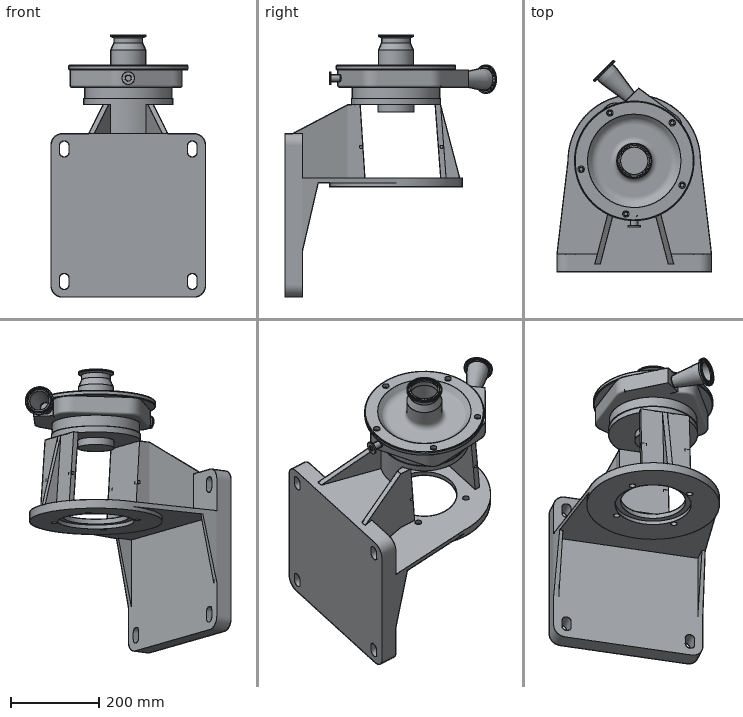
import cadquery as cq
import math


plate_width = 350.0
plate_height = 370.5
plate_thickness = 40.0
plate_front = -251.0
plate_back = plate_front + plate_thickness
plate_corner_radius = 27.0
slot_width = 21.5
slot_length = 35.5
slot_offset_x = 145.0
slot_low_z = 35.5
slot_high_z = 335.5

floor_top = 270.0
disc_radius = 150.0
disc_thickness = 20.0
disc_bottom = floor_top - disc_thickness
tongue_thickness = 11.0
tongue_bottom = floor_top - tongue_thickness
floor_bore_radius = 73.5
floor_recess_radius = 86.0
floor_bolt_circle_radius = 95.0
floor_bolt_diameter = 14.0
floor_bolt_count = 4
floor_bolt_first_angle = 45.0
gusset_thickness = 12.0
gusset_reach = 35.5
gusset_bottom = 105.0

ring_radius = 101.0
ring_bottom = 435.5
ring_top = 450.0
wall_half_width = 57.0
wall_thickness = 12.5
window_front_top_y = -81.0
window_front_low_y = -70.0
window_back_top_y = 88.5
window_back_low_y = 101.0
spine_thickness = 12.0
spine_low_y = 144.0
rib_start_y = -109.0
rib_end_y = -234.0
rib_thickness = 12.5
rib_spread = 0.26
pin_hole_diameter = 7.0
pin_hole_depth = 12.0
pin_hole_z = 340.0
pin_hole_front_y = -79.0
pin_hole_back_y = 103.0

neck_radius = 99.0
stub_radius = 41.0
stub_bottom = 419.0
casing_bottom = 475.0
casing_top = 514.5
corner_count = 5
corner_radius = 34.0
corner_circle_radius = 99.0
discharge_corner_circle_radius = 105.5
casing_fillet = 5.0
first_corner_angle = 45.0
corner_step = 360.0 / corner_count
second_corner_shift = 4.0
second_corner_angle = first_corner_angle + corner_step - second_corner_shift
cover_radius = 135.5
cover_top = 525.0
cover_chamfer = 2.0
cover_bolt_circle_radius = 121.5
cover_bolt_head_diameter = 14.0
cover_bolt_head_depth = 10.5
cover_bolt_diameter = 8.5
cover_bolt_depth = 21.5

dish_radius = 105.5
dish_bend_radius = 94.5
dish_bend_z = 513.5
dish_floor_radius = 83.0
dish_floor_z = 509.0

groove_width = 3.0
groove_depth = 2.0

inlet_top = 593.5
inlet_radius = 40.0
inlet_root_radius = 13.5
inlet_shoulder_z = 559.0
inlet_neck_z = 575.5
inlet_neck_radius = 32.5
inlet_rim_radius = 40.0
inlet_rim_thickness = 3.5
inlet_rim_taper = 3.0
inlet_groove_radius = 36.0
inlet_bore_radius = 31.0
inlet_bore_bottom = 486.5

discharge_angle = first_corner_angle + 90.0
discharge_z = 493.0
discharge_offset = 95.5
discharge_face = 109.0
discharge_tip = 194.0
boss_inner_offset = 79.5
boss_outer_offset = 123.5
nozzle_root_radius = 14.0
nozzle_end_radius = 24.5
nozzle_straight_start = 175.0
nozzle_wall = 2.5
nozzle_rim_radius = 32.0
nozzle_rim_thickness = 4.0
nozzle_groove_radius = 27.5

port_z = 495.5
port_tip_y = -150.0
port_radius = 8.5
port_rim_radius = 14.0
port_rim_thickness = 3.5
port_bore_radius = 6.5
port_bore_depth = 24.0


def polar(radius, degrees):
    angle = math.radians(degrees)
    return (radius * math.cos(angle), radius * math.sin(angle))


def disc(radius, bottom, top):
    return cq.Workplane("XY").workplane(offset=bottom).circle(radius).extrude(top - bottom)


def prism(points, bottom, top):
    return cq.Workplane("XY").workplane(offset=bottom).polyline(points).close().extrude(top - bottom)


def side_plate(points, left, right):
    """Plate with an outline in (Y, Z) reaching from X = left to X = right."""
    return cq.Workplane("YZ").workplane(offset=left).polyline(points).close().extrude(right - left)


def mirrored(body):
    return body.union(body.mirror("YZ"))


def make_plate():
    plate = (
        cq.Workplane("XY")
        .box(plate_width, plate_thickness, plate_height, centered=(True, False, False))
        .translate((0, plate_front, 0))
        .edges("|Y")
        .fillet(plate_corner_radius)
    )
    slot_centres = [(x, z) for x in (-slot_offset_x, slot_offset_x) for z in (slot_low_z, slot_high_z)]
    slots = (
        cq.Workplane("XZ", origin=(0, plate_back, 0))
        .pushPoints(slot_centres)
        .slot2D(slot_length, slot_width, 90)
        .extrude(plate_thickness)
    )
    return plate.cut(slots)


def make_tongue(bottom, top):
    """Tapered prism from the full plate width to the widest part of the disc."""
    half_width = plate_width / 2
    outline = [(-half_width, plate_back), (half_width, plate_back), (disc_radius, 0), (-disc_radius, 0)]
    return prism(outline, bottom, top)


def make_floor():
    return make_tongue(tongue_bottom, floor_top).union(disc(disc_radius, disc_bottom, floor_top))


def make_floor_holes():
    bolts = (
        cq.Workplane("XY")
        .workplane(offset=disc_bottom)
        .polarArray(floor_bolt_circle_radius, floor_bolt_first_angle, 360, floor_bolt_count)
        .circle(floor_bolt_diameter / 2)
        .extrude(floor_top - disc_bottom)
    )
    bore = disc(floor_bore_radius, disc_bottom, floor_top)
    recess = disc(floor_recess_radius, disc_bottom, tongue_bottom)
    return bolts.union(bore).union(recess)


def make_gussets():
    outer_x = plate_width / 2
    outline = [
        (plate_back, tongue_bottom),
        (plate_back + gusset_reach, tongue_bottom),
        (plate_back, gusset_bottom),
    ]
    gussets = mirrored(side_plate(outline, outer_x - gusset_thickness, outer_x))
    return gussets.intersect(make_tongue(gusset_bottom, tongue_bottom))


def make_back_wall():
    wall = side_plate(
        [
            (window_back_low_y, floor_top),
            (window_back_top_y, ring_bottom),
            (window_back_top_y + wall_thickness, ring_bottom),
            (window_back_low_y + wall_thickness, floor_top),
        ],
        -wall_half_width,
        wall_half_width,
    )
    spine = side_plate(
        [
            (window_back_low_y, floor_top),
            (window_back_top_y, ring_bottom),
            (ring_radius, ring_bottom),
            (spine_low_y, floor_top),
        ],
        -spine_thickness / 2,
        spine_thickness / 2,
    )
    return wall.union(spine)


def make_front_wall():
    """Round-fronted wall with two splayed ribs and a shelf between them.

    The leaning face of the window cuts it off behind.
    """
    spread_x = wall_half_width + rib_spread * (rib_start_y - rib_end_y)
    shelf_end_x = spread_x - rib_thickness
    inner_start_x = wall_half_width - rib_thickness - rib_spread * (window_front_low_y - rib_start_y)
    rib = prism(
        [
            (wall_half_width, window_front_low_y),
            (wall_half_width, rib_start_y),
            (spread_x, rib_end_y),
            (shelf_end_x, rib_end_y),
            (inner_start_x, window_front_low_y),
        ],
        floor_top,
        ring_bottom,
    )
    shelf = prism(
        [
            (-shelf_end_x, rib_end_y),
            (shelf_end_x, rib_end_y),
            (inner_start_x, window_front_low_y),
            (-inner_start_x, window_front_low_y),
        ],
        floor_top,
        plate_height,
    )
    profile = side_plate(
        [
            (window_front_low_y, floor_top),
            (window_front_top_y, ring_bottom),
            (rib_start_y, ring_bottom),
            (rib_end_y, plate_height),
            (rib_end_y, floor_top),
        ],
        -plate_width / 2,
        plate_width / 2,
    )
    core = disc(ring_radius, floor_top, ring_bottom).intersect(
        cq.Workplane("XY").box(2 * wall_half_width, 2 * ring_radius, 2 * ring_bottom)
    )
    return core.union(mirrored(rib)).union(shelf).intersect(profile)


def make_pin_holes():
    return mirrored(
        cq.Workplane("YZ")
        .workplane(offset=wall_half_width - pin_hole_depth)
        .pushPoints([(pin_hole_front_y, pin_hole_z), (pin_hole_back_y, pin_hole_z)])
        .circle(pin_hole_diameter / 2)
        .extrude(pin_hole_depth)
    )


def make_casing():
    centres = [
        polar(discharge_corner_circle_radius, first_corner_angle),
        polar(discharge_corner_circle_radius, second_corner_angle),
    ]
    for i in range(len(centres), corner_count):
        centres.append(polar(corner_circle_radius, first_corner_angle + i * corner_step))
    casing = (
        cq.Workplane("XY")
        .workplane(offset=casing_bottom)
        .polyline(centres)
        .close()
        .offset2D(corner_radius)
        .extrude(casing_top - casing_bottom)
        .faces("<Z")
        .edges()
        .fillet(casing_fillet)
    )
    bearing = disc(stub_radius, stub_bottom, ring_bottom)
    bearing = bearing.union(disc(ring_radius, ring_bottom, ring_top))
    bearing = bearing.union(disc(neck_radius, ring_top, casing_bottom))
    cover = disc(cover_radius, casing_top, cover_top).edges().chamfer(cover_chamfer)
    return casing.union(bearing).union(cover)


def make_discharge_boss():
    tip = (discharge_face, -boss_outer_offset)
    to_tip = (tip[0], tip[1] + discharge_corner_circle_radius)
    tangent_angle = math.atan2(to_tip[1], to_tip[0]) - math.acos(corner_radius / math.hypot(*to_tip))
    tangent_x, tangent_y = polar(corner_radius, math.degrees(tangent_angle))
    outline = [
        (0, -discharge_corner_circle_radius),
        (tangent_x, tangent_y - discharge_corner_circle_radius),
        tip,
        (discharge_face, -boss_inner_offset),
        (0, -boss_inner_offset),
    ]
    boss = prism(outline, casing_bottom, casing_top)
    return boss.rotate((0, 0, 0), (0, 0, 1), discharge_angle)


def place_nozzle(profile):
    """Turn a (radius, distance) profile about the nozzle axis and set it in place."""
    body = cq.Workplane("XZ").polyline(profile).close().revolve(360, (0, 0, 0), (0, 1, 0))
    body = body.rotate((0, 0, 0), (0, 1, 0), 90)
    body = body.translate((0, -discharge_offset, discharge_z))
    return body.rotate((0, 0, 0), (0, 0, 1), discharge_angle)


def make_nozzle():
    return place_nozzle(
        [
            (0, discharge_face),
            (nozzle_root_radius, discharge_face),
            (nozzle_end_radius, nozzle_straight_start),
            (nozzle_end_radius, discharge_tip - nozzle_rim_thickness),
            (nozzle_rim_radius, discharge_tip - nozzle_rim_thickness),
            (nozzle_rim_radius, discharge_tip),
            (0, discharge_tip),
        ]
    )


def make_nozzle_bore():
    return place_nozzle(
        [
            (0, discharge_face),
            (nozzle_root_radius - nozzle_wall, discharge_face),
            (nozzle_end_radius - nozzle_wall, nozzle_straight_start),
            (nozzle_end_radius - nozzle_wall, discharge_tip),
            (0, discharge_tip),
        ]
    )


def make_nozzle_groove():
    inner = nozzle_groove_radius - groove_width / 2
    outer = nozzle_groove_radius + groove_width / 2
    bottom = discharge_tip - groove_depth
    return place_nozzle([(inner, bottom), (outer, bottom), (outer, discharge_tip), (inner, discharge_tip)])


def make_dish():
    """Ring-shaped hollow in the cover around the filleted foot of the inlet."""
    return (
        cq.Workplane("XZ")
        .moveTo(inlet_radius + inlet_root_radius, dish_floor_z)
        .lineTo(dish_floor_radius, dish_floor_z)
        .tangentArcPoint((dish_bend_radius, dish_bend_z), relative=False)
        .lineTo(dish_radius, cover_top)
        .lineTo(inlet_radius, cover_top)
        .lineTo(inlet_radius, dish_floor_z + inlet_root_radius)
        .radiusArc((inlet_radius + inlet_root_radius, dish_floor_z), -inlet_root_radius)
        .close()
        .revolve(360, (0, 0, 0), (0, 1, 0))
    )


def make_inlet():
    rim_bottom = inlet_top - inlet_rim_thickness
    profile = [
        (0, dish_floor_z),
        (inlet_radius, dish_floor_z),
        (inlet_radius, inlet_shoulder_z),
        (inlet_neck_radius, inlet_neck_z),
        (inlet_neck_radius, rim_bottom - inlet_rim_taper),
        (inlet_rim_radius, rim_bottom),
        (inlet_rim_radius, inlet_top),
        (0, inlet_top),
    ]
    return cq.Workplane("XZ").polyline(profile).close().revolve(360, (0, 0, 0), (0, 1, 0))


def make_inlet_groove():
    groove_bottom = inlet_top - groove_depth
    outer = disc(inlet_groove_radius + groove_width / 2, groove_bottom, inlet_top)
    return outer.cut(disc(inlet_groove_radius - groove_width / 2, groove_bottom, inlet_top))


def make_cover_bolt_holes():
    def ring_of_holes(diameter, depth):
        return (
            cq.Workplane("XY")
            .workplane(offset=cover_top - depth)
            .polarArray(cover_bolt_circle_radius, first_corner_angle, 360, corner_count)
            .circle(diameter / 2)
            .extrude(depth)
        )

    heads = ring_of_holes(cover_bolt_head_diameter, cover_bolt_head_depth)
    return heads.union(ring_of_holes(cover_bolt_diameter, cover_bolt_depth))


def port_cylinder(radius, length):
    """Cylinder running back (+Y) from the tip of the flush port."""
    return cq.Workplane("XZ", origin=(0, port_tip_y, port_z)).circle(radius).extrude(-length)


def make_flush_port():
    port = port_cylinder(port_radius, -port_tip_y - corner_circle_radius)
    return port.union(port_cylinder(port_rim_radius, port_rim_thickness))


bracket = make_plate()
for body in (make_floor(), make_gussets(), make_back_wall(), make_front_wall()):
    bracket = bracket.union(body)
bracket = bracket.cut(make_floor_holes()).cut(make_pin_holes())

pump = make_casing().union(make_discharge_boss()).cut(make_dish())
for body in (make_inlet(), make_nozzle(), make_flush_port()):
    pump = pump.union(body)
pump = pump.cut(disc(inlet_bore_radius, inlet_bore_bottom, inlet_top))
pump = pump.cut(make_inlet_groove())
pump = pump.cut(make_nozzle_bore()).cut(make_nozzle_groove())
pump = pump.cut(port_cylinder(port_bore_radius, port_bore_depth))
pump = pump.cut(make_cover_bolt_holes())

result = bracket.union(pump)